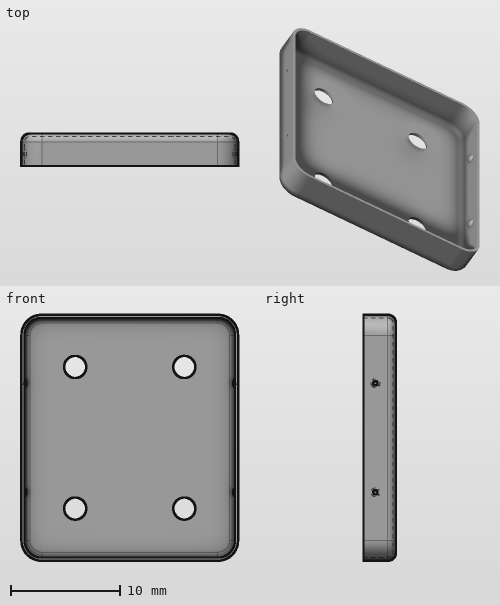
import cadquery as cq

width = 19.9
depth = 3.0
height = 22.6
corner_radius = 1.9
wall = 0.3
outer_edge_radius = 0.8
inner_edge_radius = outer_edge_radius - wall

floor_hole_diameter = 2.01
floor_hole_spacing_x = 10.01
floor_hole_spacing_z = 13.0

dimple_spacing_z = 10.01
dimple_from_rim = 1.1
hollow_radius = 0.2
dome_radius = hollow_radius + wall


def rounded_block(size_x, size_z, front_y, back_y, vertical_radius, edge_radius):
    """Block with rounded corners and a rounded rim at its +Y end."""
    return (
        cq.Workplane("XZ", origin=(0, back_y, 0))
        .rect(size_x, size_z)
        .extrude(back_y - front_y)
        .edges("|Y")
        .fillet(vertical_radius)
        .faces(">Y")
        .edges()
        .fillet(edge_radius)
    )


def half_ball(radius, side, z):
    """Half ball on the outer face of one side wall, swelling toward the tray middle."""
    return (
        cq.Workplane("XY", origin=(side * width / 2, dimple_from_rim - depth / 2, z))
        .lineTo(-side * radius, 0)
        .radiusArc((0, radius), side * radius)
        .close()
        .revolve(360, (0, 0, 0), (1, 0, 0))
    )


def make_tray():
    front_y = -depth / 2
    back_y = depth / 2
    outside = rounded_block(width, height, front_y, back_y, corner_radius, outer_edge_radius)
    cavity = rounded_block(
        width - 2 * wall,
        height - 2 * wall,
        front_y,
        back_y - wall,
        corner_radius - wall,
        inner_edge_radius,
    )
    return outside.cut(cavity)


def cut_floor_holes(body):
    holes = (
        cq.Workplane("XZ", origin=(0, depth / 2, 0))
        .rarray(floor_hole_spacing_x, floor_hole_spacing_z, 2, 2)
        .circle(floor_hole_diameter / 2)
        .extrude(depth)
    )
    return body.cut(holes)


def press_dimples(body):
    for side in (-1, 1):
        for row in (-1, 1):
            z = row * dimple_spacing_z / 2
            body = body.union(half_ball(dome_radius, side, z))
            body = body.cut(half_ball(hollow_radius, side, z))
    return body


result = press_dimples(cut_floor_holes(make_tray()))